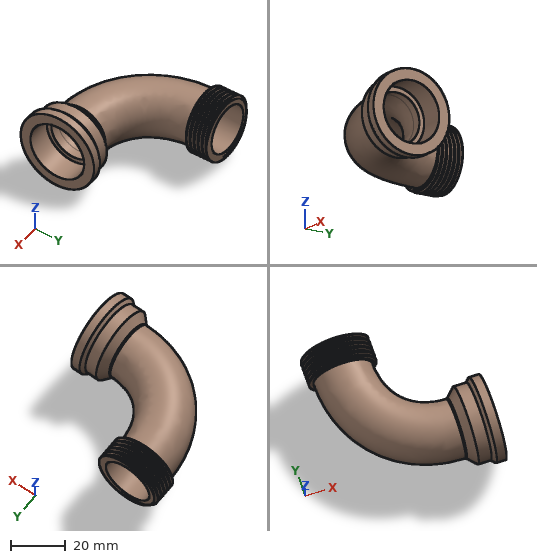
import cadquery as cq
import math

tube_diameter = 23.0
bore_diameter = 20.0
bend_handle_ratio = 0.59

thread_end_y = 43.5
thread_length = 10.0
thread_major_diameter = 26.45
thread_minor_diameter = 24.4
thread_pitch = 1.8
flank_half_angle = math.radians(27.5)
thread_root_overlap = 0.25

socket_end_x = 46.25
flange_diameter = 33.0
flange_length = 3.8
flange_chamfer_length = 1.5
collar_diameter = 30.0
collar_end_length = 10.25
neck_diameter = 23.15
neck_length = 0.5
socket_bore_diameter = 24.1
socket_depth = collar_end_length

thread_start_y = thread_end_y - thread_length
collar_start_x = socket_end_x - collar_end_length
shoulder_start_x = collar_start_x - (collar_diameter - neck_diameter) / 2
neck_start_x = shoulder_start_x - neck_length


def swept_pipe(diameter):
    """Round bar following the elbow from the +Y end face to the +X end face."""
    handle_start = 1 - bend_handle_ratio
    path = (
        cq.Workplane("XY")
        .moveTo(0, thread_end_y)
        .lineTo(0, thread_start_y)
        .bezier([
            (0, thread_start_y),
            (0, thread_start_y * handle_start),
            (neck_start_x * handle_start, 0),
            (neck_start_x, 0),
        ])
        .lineTo(socket_end_x, 0)
    )
    profile = cq.Workplane("XZ", origin=(0, thread_end_y, 0)).circle(diameter / 2)
    return profile.sweep(path)


def flanged_socket():
    """Solid body of the socket: short neck, conical shoulder, collar and flange."""
    chamfer_end_x = socket_end_x - flange_length
    chamfer_start_x = chamfer_end_x - flange_chamfer_length
    collar_radius = collar_diameter / 2
    outline = [
        (neck_start_x, 0),
        (neck_start_x, neck_diameter / 2),
        (shoulder_start_x, neck_diameter / 2),
        (collar_start_x, collar_radius),
        (chamfer_start_x, collar_radius),
        (chamfer_end_x, flange_diameter / 2),
        (socket_end_x, flange_diameter / 2),
        (socket_end_x, 0),
    ]
    return cq.Workplane("XY").polyline(outline).close().revolve(360, (0, 0, 0), (1, 0, 0))


def thread_sleeve(diameter):
    """Plain cylinder as long as the threaded end."""
    return (
        cq.Workplane("XZ", origin=(0, thread_end_y, 0))
        .circle(diameter / 2)
        .extrude(thread_length)
    )


def thread_ridge():
    """Right-hand helical ridge, cut off flush at both ends of the threaded length."""
    major_radius = thread_major_diameter / 2
    minor_radius = thread_minor_diameter / 2
    inner_radius = minor_radius - thread_root_overlap
    flank_width = (major_radius - minor_radius) * math.tan(flank_half_angle)
    half_crest = (thread_pitch / 2 - flank_width) / 2
    half_root = half_crest + (major_radius - inner_radius) * math.tan(flank_half_angle)

    spare_turns = 2
    turns = math.ceil(thread_length / thread_pitch) + spare_turns
    helix = cq.Wire.makeHelix(thread_pitch, turns * thread_pitch, minor_radius)
    ridge = (
        cq.Workplane("XZ")
        .polyline([
            (inner_radius, -half_root),
            (major_radius, -half_crest),
            (major_radius, half_crest),
            (inner_radius, half_root),
        ])
        .close()
        .sweep(cq.Workplane(helix), isFrenet=True)
    )
    trim_diameter = thread_major_diameter + thread_pitch
    ridge = (
        ridge.rotate((0, 0, 0), (0, 0, 1), 180)
        .rotate((0, 0, 0), (1, 0, 0), -90)
        .translate((0, thread_start_y - thread_pitch, 0))
    )
    return ridge.intersect(thread_sleeve(trim_diameter))


def socket_bore():
    """Wide bore at the open end of the socket."""
    return (
        cq.Workplane("YZ", origin=(socket_end_x, 0, 0))
        .circle(socket_bore_diameter / 2)
        .extrude(-socket_depth)
    )


threaded_end = thread_sleeve(thread_minor_diameter).union(thread_ridge())
body = swept_pipe(tube_diameter).union(flanged_socket()).union(threaded_end)
result = body.cut(swept_pipe(bore_diameter)).cut(socket_bore())